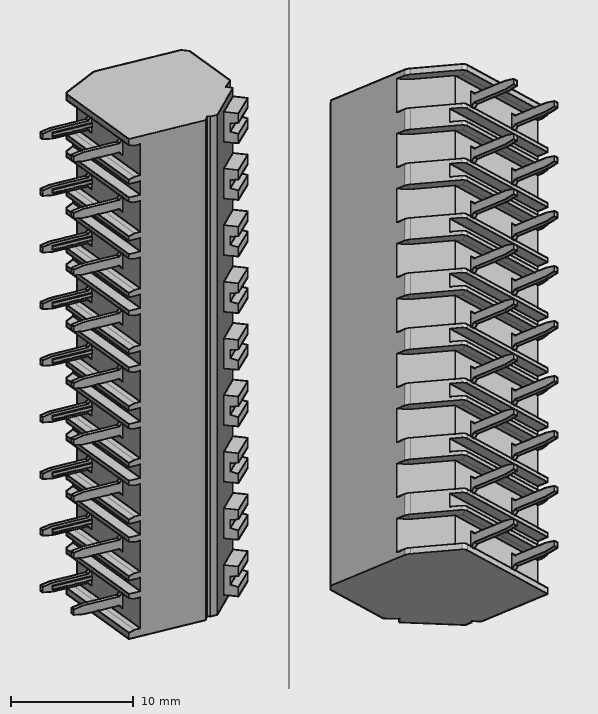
import cadquery as cq

height = 44.85
pole_count = 9
end_margin = 2.1
pitch = (height - 2 * end_margin) / (pole_count - 1)
pole_centres = [end_margin + i * pitch for i in range(pole_count)]
channel_centres = [z + pitch / 2 for z in pole_centres[:-1]]

width = 12.7
depth = 12.82
incline_x = 2.45
incline_y = 4.13
incline_slope = incline_y / incline_x
heel_radius = 1.0
toe_radius = 0.45
back_chamfer = 0.5
notch_start_x = 7.1
notch_bottom = (8.0, 11.9)
button_seat = (8.45, 12.3)
seat_end = (12.3, 8.55)
lip_end_y = 7.9
lip_groove = (12.1, 7.7)
lip_base_y = 7.2

recess_depth = 1.08
recess_inner_width = 2.8
recess_mouth_width = 3.1
bevel_depth = recess_depth / 2
channel_width = 1.2

button_length = 3.1
button_rise = 1.25
button_width = 2.7
button_sink = 0.45
slot_mouth = 1.0
slot_floor = 0.7
slot_depth = 0.67

pin_left_x = 4.45
pin_spacing = 5.0
pin_thickness = 0.4
pin_width = 0.8
pin_reach = 3.55
pin_tip_width = 0.5
pin_tip_length = 0.9
pin_root_width = 1.5
pin_root_length = (pin_root_width - pin_width) / 2
pin_embed = 0.45
pin_rib_width = 0.3
pin_rib_height = 0.15
pin_rib_reach = pin_reach - pin_tip_length


def make_housing():
    """Full-height housing with rounded ends on its sloping face."""
    outline = [
        (incline_x, 0),
        (width, 0),
        (width, lip_base_y),
        lip_groove,
        (seat_end[0], lip_end_y),
        seat_end,
        button_seat,
        notch_bottom,
        (notch_start_x, depth),
        (back_chamfer, depth),
        (0, depth - back_chamfer),
        (0, incline_y),
    ]
    body = cq.Workplane("XY").polyline(outline).close().extrude(height)
    middle = height / 2
    body = body.edges(cq.NearestToPointSelector((0, incline_y, middle))).fillet(heel_radius)
    return body.edges(cq.NearestToPointSelector((incline_x, 0, middle))).fillet(toe_radius)


def front_outline(incline_shift, front_shift, side_shift=0.0):
    """Pin-side region, its sloping and front faces moved back in Y and its left face inward in X."""
    rear = depth / 2
    corner_x = (incline_y + incline_shift - front_shift) / incline_slope
    return [
        (side_shift, incline_y + incline_shift - incline_slope * side_shift),
        (corner_x, front_shift),
        (width, front_shift),
        (width, rear),
        (side_shift, rear),
    ]


def rib_bevel(z_outer, z_inner):
    """Bevelled material between a recess mouth and the narrower recess inside it."""
    outer = front_outline(0, 0)
    inner = front_outline(recess_depth, bevel_depth, bevel_depth)
    return (
        cq.Workplane("XY", origin=(0, 0, z_outer)).polyline(outer).close()
        .workplane(offset=z_inner - z_outer).polyline(inner).close()
        .loft(ruled=True)
    )


def make_recess():
    """Cutter for one pole's recess, centred on z = 0."""
    half_mouth = recess_mouth_width / 2
    half_inner = recess_inner_width / 2
    block = cq.Workplane("XY", origin=(0, 0, -half_mouth))
    block = block.rect(width, depth / 2, centered=False).extrude(recess_mouth_width)
    core = cq.Workplane("XY", origin=(0, 0, -half_mouth))
    core = core.polyline(front_outline(recess_depth, recess_depth)).close().extrude(recess_mouth_width)
    return block.cut(core).cut(rib_bevel(-half_mouth, -half_inner)).cut(rib_bevel(half_mouth, half_inner))


def make_channel():
    """Cutter for the channel between two poles, centred on z = 0."""
    return cq.Workplane("XY").box(width, recess_depth, channel_width, centered=(False, False, True))


def make_button():
    """Slotted push button on the back slope, centred on z = 0."""
    face = cq.Plane(origin=(*button_seat, 0), xDir=(1, -1, 0), normal=(0, 0, 1))
    button = (
        cq.Workplane(face).center(0, -button_sink)
        .rect(button_length, button_rise + button_sink, centered=False)
        .extrude(button_width / 2, both=True)
    )
    end = cq.Plane(origin=(*button_seat, 0), xDir=(0, 0, 1), normal=(1, -1, 0))
    top = -button_rise
    floor = -(button_rise - slot_depth)
    slot = cq.Workplane(end).polyline([
        (-slot_mouth / 2, top),
        (slot_mouth / 2, top),
        (slot_floor / 2, floor),
        (-slot_floor / 2, floor),
    ]).close().extrude(button_length)
    return button.cut(slot)


def make_pin(x):
    """Flat pin with a flared root and a tapered tip, its left face at the given x."""
    profile = [
        (recess_depth + pin_embed, pin_root_width / 2),
        (recess_depth, pin_root_width / 2),
        (recess_depth - pin_root_length, pin_width / 2),
        (pin_tip_length - pin_reach, pin_width / 2),
        (-pin_reach, pin_tip_width / 2),
    ]
    mirrored = [(y, -z) for y, z in reversed(profile)]
    return (
        cq.Workplane("YZ", origin=(x, 0, 0))
        .polyline(profile + mirrored).close().extrude(pin_thickness)
    )


def make_pin_rib():
    """Stiffening rib on the right face of the left pin."""
    length = pin_rib_reach + recess_depth + pin_embed
    return cq.Workplane("XY", origin=(pin_left_x, -pin_rib_reach, 0)).box(
        pin_thickness + pin_rib_height, length, pin_rib_width, centered=(False, False, True)
    )


def repeat(part, centres):
    """Copies of a part at the given heights, as one compound."""
    return cq.Compound.makeCompound([part.val().moved(cq.Location(cq.Vector(0, 0, z))) for z in centres])


result = make_housing()
result = result.cut(cq.Workplane(repeat(make_recess(), pole_centres)))
result = result.cut(cq.Workplane(repeat(make_channel(), channel_centres)))

left_pin = make_pin(pin_left_x).union(make_pin_rib())
right_pin = make_pin(pin_left_x + pin_spacing)
for part in (make_button(), left_pin, right_pin):
    result = result.union(cq.Workplane(repeat(part, pole_centres)))